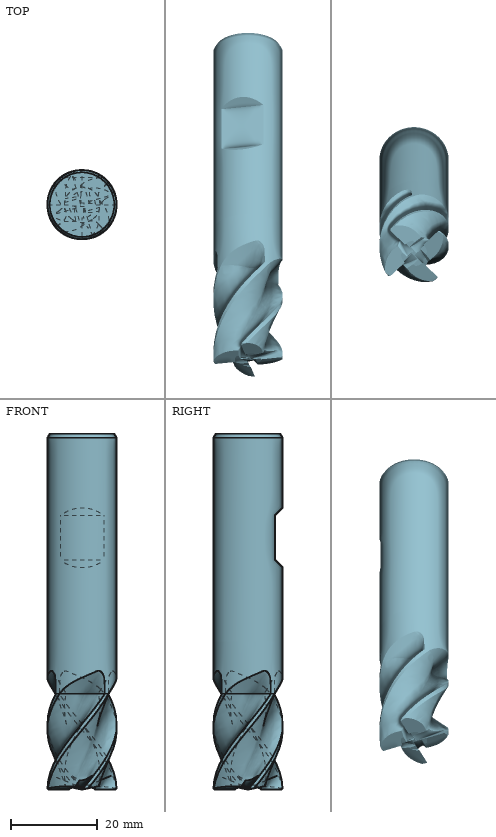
import cadquery as cq
import math


TOTAL_LENGTH = 82.0
RADIUS = 7.995
CUTTER_LENGTH = 22.1
NECK_TOP = 34.1

TOP_BEVEL_HEIGHT = 1.0
TOP_BEVEL_ANGLE = 30.0
TOP_BEVEL_WIDTH = TOP_BEVEL_HEIGHT * math.tan(math.radians(TOP_BEVEL_ANGLE))
FLAT_CENTER = 58.05
FLAT_LENGTH = 10.3
FLAT_DEPTH = 1.7

TEETH = 4
TOOTH_PITCH = 360 / TEETH
HELIX_LEAD = 60.7
LAND_ANGLE = 8.5
RELIEF_RADIUS, RELIEF_ANGLE = 6.1, 31.3
HEEL_RADIUS, HEEL_ANGLE = 4.35, 57.2
GULLET_RADIUS, GULLET_ANGLE = 4.3, 79.0
RAKE_RADIUS, RAKE_ANGLE = 6.1, 89.0
RUNOUT_TILT = 38.0

CORNER_BEVEL = 0.3
RECESS_RADIUS = 3.0
RECESS_DEPTH = 0.4
END_RELIEF = 12.0
GASH_START = 0.4
GASH_HEIGHT = 0.65
GASH_WIDTH = 2.05
GASH_RAKE = 35.0
GASH_SLOPE = 22.0

CLEARANCE = 3.3


def polar(radius, angle):
    """Point in the XY plane from a radius and an angle in degrees."""
    turn = math.radians(angle)
    return (radius * math.cos(turn), radius * math.sin(turn))


def flute_curve(sketch, start):
    """Add the tooth back, gullet and rake face, ending at the next cutting edge."""
    return (
        sketch.threePointArc(
            polar(RELIEF_RADIUS, start + RELIEF_ANGLE), polar(HEEL_RADIUS, start + HEEL_ANGLE)
        )
        .threePointArc(
            polar(GULLET_RADIUS, start + GULLET_ANGLE), polar(RAKE_RADIUS, start + RAKE_ANGLE)
        )
        .lineTo(*polar(RADIUS, start + TOOTH_PITCH))
    )


def around_axis(shape):
    """One copy of the shape for each tooth."""
    return [shape.rotate((0, 0, 0), (0, 0, 1), i * TOOTH_PITCH) for i in range(TEETH)]


def twist_at(height):
    """Angle of the first cutting edge at a height."""
    return 360 * height / HELIX_LEAD



def fluted_body():
    """Toothed section twisted up the tool axis."""
    section = cq.Workplane("XY").moveTo(*polar(RADIUS, 0))
    for i in range(TEETH):
        start = i * TOOTH_PITCH
        section = section.threePointArc(
            polar(RADIUS, start + LAND_ANGLE / 2), polar(RADIUS, start + LAND_ANGLE)
        )
        section = flute_curve(section, start)
    return section.close().twistExtrude(CUTTER_LENGTH, twist_at(CUTTER_LENGTH))


def corner_bevel():
    """Ring that bevels the outer corners of the teeth."""
    return (
        cq.Workplane("XZ")
        .moveTo(RADIUS - CORNER_BEVEL, 0)
        .lineTo(RADIUS, CORNER_BEVEL)
        .lineTo(RADIUS + CLEARANCE, CORNER_BEVEL)
        .lineTo(RADIUS + CLEARANCE, 0)
        .close()
        .revolve(360, (0, 0, 0), (0, 1, 0))
    )


def center_recess():
    """Disc that hollows the middle of the cutting end."""
    return cq.Workplane("XY").circle(RECESS_RADIUS).extrude(RECESS_DEPTH)


def end_relief():
    """Wedge under the first tooth, rising behind its end cutting edge."""
    length = RADIUS + CLEARANCE
    rise = length * math.tan(math.radians(END_RELIEF))
    return (
        cq.Workplane("YZ")
        .polyline([(0, 0), (length, 0), (length, rise)])
        .close()
        .extrude(length)
    )


def gash_section(distance):
    """Gash cross-section at a distance from the tool axis."""
    lean = math.tan(math.radians(GASH_RAKE))
    top = GASH_HEIGHT + (distance - GASH_START) * math.tan(math.radians(GASH_SLOPE))
    bottom = -CLEARANCE
    corners = [
        (bottom * lean, bottom),
        (top * lean, top),
        (top * lean - GASH_WIDTH, top),
        (bottom * lean - GASH_WIDTH, bottom),
    ]
    return cq.Wire.makePolygon([cq.Vector(distance, y, z) for y, z in corners], close=True)


def gash():
    """Notch in front of the first end cutting edge, growing taller outward."""
    sections = [gash_section(GASH_START), gash_section(RADIUS + CLEARANCE)]
    return cq.Workplane(cq.Solid.makeLoft(sections, True))


def make_cutter():
    cutter = fluted_body().cut(corner_bevel()).cut(center_recess())
    for wedge in around_axis(end_relief()):
        cutter = cutter.cut(wedge)
    for notch in around_axis(gash()):
        cutter = cutter.cut(notch)
    return cutter



def shank_blank():
    """Turned neck and clamping shank with a beveled top."""
    return (
        cq.Workplane("XZ")
        .moveTo(0, CUTTER_LENGTH)
        .lineTo(RADIUS, CUTTER_LENGTH)
        .lineTo(RADIUS, NECK_TOP)
        .lineTo(RADIUS, TOTAL_LENGTH - TOP_BEVEL_HEIGHT)
        .lineTo(RADIUS - TOP_BEVEL_WIDTH, TOTAL_LENGTH)
        .lineTo(0, TOTAL_LENGTH)
        .close()
        .revolve(360, (0, 0, 0), (0, 1, 0), clean=False)
    )


def clamping_flat():
    """Flat with 45 degree ramps on the +Y side."""
    floor = RADIUS - FLAT_DEPTH
    outside = RADIUS + CLEARANCE
    half_floor = FLAT_LENGTH / 2
    half_mouth = half_floor + outside - floor
    return (
        cq.Workplane("YZ")
        .polyline([
            (floor, FLAT_CENTER - half_floor),
            (floor, FLAT_CENTER + half_floor),
            (outside, FLAT_CENTER + half_mouth),
            (outside, FLAT_CENTER - half_mouth),
        ])
        .close()
        .extrude(RADIUS, both=True)
    )


def flute_runout():
    """One flute section carried up and outward in a straight line along its rake face."""
    start = twist_at(CUTTER_LENGTH)
    outside = 2 * RADIUS
    section = flute_curve(
        cq.Workplane("XY", origin=(0, 0, CUTTER_LENGTH)).moveTo(*polar(RADIUS, start + LAND_ANGLE)),
        start,
    )
    section = (
        section.lineTo(*polar(outside, start + TOOTH_PITCH))
        .lineTo(*polar(outside, start + LAND_ANGLE))
        .close()
    )
    rise = RADIUS
    reach = rise * math.tan(math.radians(RUNOUT_TILT))
    path = cq.Vector(*polar(reach, start + RAKE_ANGLE), rise)
    return cq.Workplane(cq.Solid.extrudeLinear(section.val(), [], path))


def make_shank():
    shank = shank_blank().cut(clamping_flat(), clean=False)
    for runout in around_axis(flute_runout()):
        shank = shank.cut(runout, clean=False)
    return shank


cutter = make_cutter()
shank = make_shank()

result = cq.Compound.makeCompound([cutter.solids().val(), shank.solids().val()])